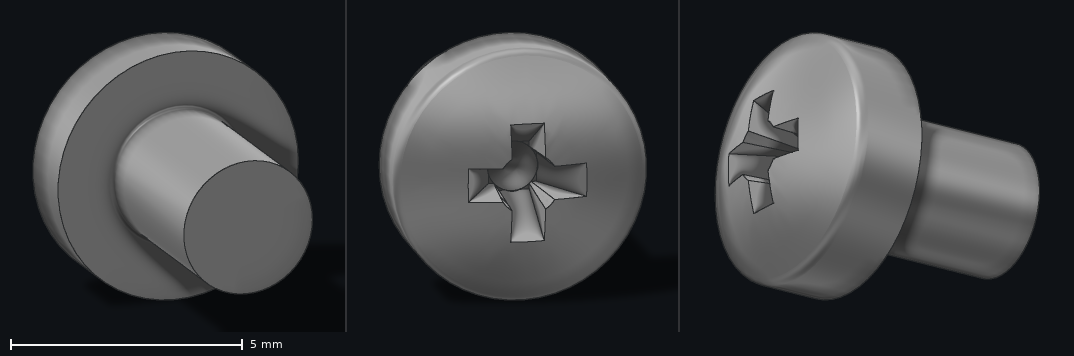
import cadquery as cq
import math

head_diameter = 5.6
head_height = 2.4
dome_radius = 5.0
rim_radius = 0.27
shank_diameter = 3.0
shank_length = 4.0
neck_radius = 0.1

wing_width = 0.74
wing_span = 2.62
wing_floor_span = 1.065
wing_taper = 26.5
core_mouth_radius = 0.68
core_floor_radius = 0.553
core_point_angle = 140

head_radius = head_diameter / 2
shank_radius = shank_diameter / 2
apex_x = -head_height
dome_center_x = apex_x + dome_radius


def dome_x(radius):
    """X position of the dome surface at a distance from the screw axis."""
    return dome_center_x - math.sqrt(dome_radius**2 - radius**2)


wing_mouth_x = dome_x(wing_span / 2)
wing_end_run = (wing_span - wing_floor_span) / 2
recess_floor_x = wing_mouth_x + wing_end_run / math.tan(math.radians(wing_taper))


def make_body():
    """Revolve the half profile of head and shank about the X axis."""
    rim_center_r = head_radius - rim_radius
    rim_center_x = dome_center_x - math.sqrt((dome_radius - rim_radius) ** 2 - rim_center_r**2)
    dome_edge_angle = math.asin(rim_center_r / (dome_radius - rim_radius))
    rim_middle_angle = (dome_edge_angle + math.pi / 2) / 2

    def on_dome(angle):
        return (dome_center_x - dome_radius * math.cos(angle), dome_radius * math.sin(angle))

    rim_middle = (
        rim_center_x - rim_radius * math.cos(rim_middle_angle),
        rim_center_r + rim_radius * math.sin(rim_middle_angle),
    )
    neck_middle_offset = neck_radius * (1 - math.sqrt(0.5))
    neck_middle = (neck_middle_offset, shank_radius + neck_middle_offset)

    profile = (
        cq.Workplane("XY")
        .moveTo(apex_x, 0)
        .threePointArc(on_dome(dome_edge_angle / 2), on_dome(dome_edge_angle))
        .threePointArc(rim_middle, (rim_center_x, head_radius))
        .lineTo(0, head_radius)
        .lineTo(0, shank_radius + neck_radius)
        .threePointArc(neck_middle, (neck_radius, shank_radius))
        .lineTo(shank_length, shank_radius)
        .lineTo(shank_length, 0)
        .close()
    )
    return profile.revolve(360, (0, 0, 0), (1, 0, 0))


def make_wing_pair():
    """Tapered slot for two opposite wings, spread along Y and open past the apex."""
    floor_half = wing_floor_span / 2
    open_half = floor_half + (recess_floor_x - apex_x) * math.tan(math.radians(wing_taper))
    return (
        cq.Workplane("XY")
        .polyline(
            [
                (recess_floor_x, -floor_half),
                (recess_floor_x, floor_half),
                (apex_x, open_half),
                (apex_x, -open_half),
            ]
        )
        .close()
        .extrude(wing_width / 2, both=True)
    )


def make_core():
    """Conical centre of the recess with its pointed bottom."""
    core_slope = (core_mouth_radius - core_floor_radius) / (recess_floor_x - dome_x(core_mouth_radius))
    open_radius = core_floor_radius + (recess_floor_x - apex_x) * core_slope
    point_depth = core_floor_radius / math.tan(math.radians(core_point_angle / 2))
    return (
        cq.Workplane("XY")
        .polyline(
            [
                (apex_x, 0),
                (apex_x, open_radius),
                (recess_floor_x, core_floor_radius),
                (recess_floor_x + point_depth, 0),
            ]
        )
        .close()
        .revolve(360, (0, 0, 0), (1, 0, 0))
    )


result = make_body().cut(make_core())
for turn in (0, 90):
    result = result.cut(make_wing_pair().rotate((0, 0, 0), (1, 0, 0), turn))